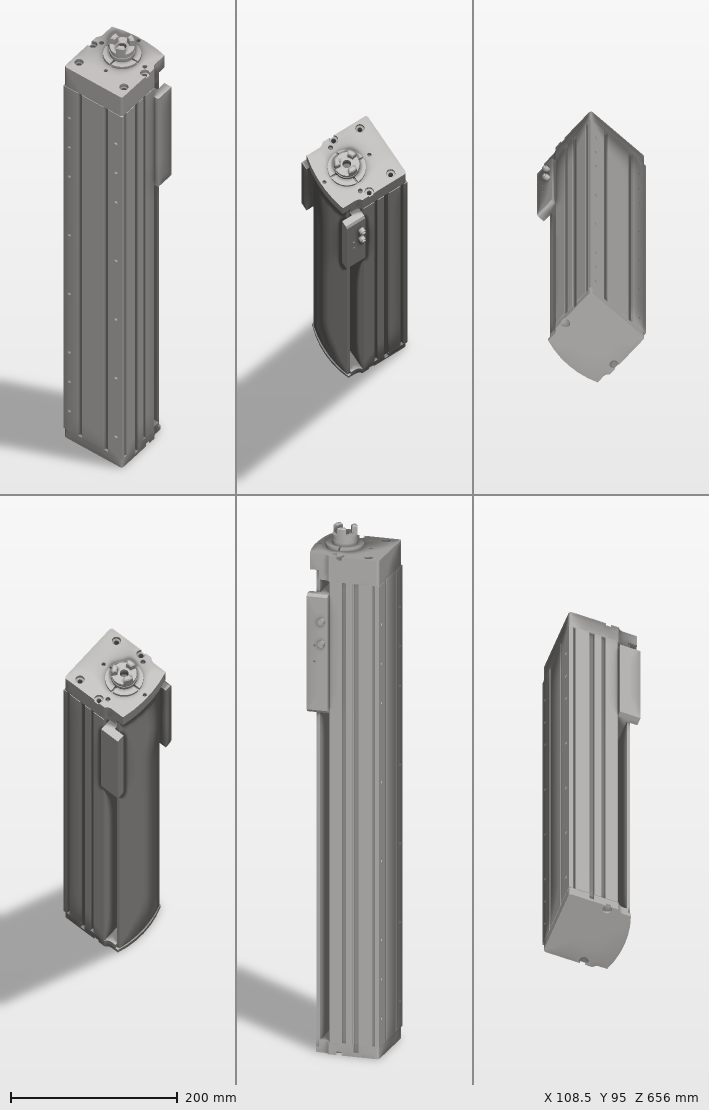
import cadquery as cq
import math


total_height = 656.0
cap_height = 15.0
head_bottom = 597.5
head_top = 629.5

rail_width = 89.0
rail_front_y = -58.0
rail_back_y = 6.0
rail_back_chamfer = 1.0
front_slot_x = 20.0
front_slot_width = 4.5
slot_depth = 4.0
lip_width = 1.0
lip_depth = 1.0
upper_groove_y = -13.0
upper_groove_width = 5.0
cable_groove_y = -28.0
cable_groove_width = 6.0
clamp_groove_y = -50.5
clamp_groove_width = 3.0

mount_pitch = 50.0
mount_hole_x = 35.5
mount_hole_diameter = 5.0
mount_hole_depth = 6.5
paired_hole_steps = (1, 3, 5, 7, 9, 10, 11)
left_only_hole_steps = (2,)

end_width = 88.0
end_front_y = -57.0
end_corner_radius = 3.0
neck_half_width = 40.0
neck_fillet = 9.0
neck_fillet_y = 14.0
head_shoulder_y = 31.5
head_crown_y = 37.0
overhang_bottom = 609.5

cover_half_width = 37.5
cover_front_y = 20.0
cover_shoulder_y = 23.5
cover_crown_y = 29.0
cover_bottom = 6.5
cap_crown_y = 31.0

pocket_diameter = 11.0
bolt_hole_diameter = 6.0
side_pocket_x = 39.5
side_pocket_y = -6.5
pocket_depth = 4.5
front_pocket_x = 34.0
front_pocket_y = -40.5
dowel_x = 33.0
dowel_y = 2.0
dowel_diameter = 6.0
dowel_depth = 6.5
motor_hole_offset = 32.0
motor_hole_diameter = 5.0
motor_hole_depth = 6.5

ring_diameter = 46.0
ring_height = 4.0
ring_slot_width = 2.5

hub_diameter = 30.0
hub_bore = 10.5
hub_bottom = head_top + ring_height
hub_body_top = 646.0
jaw_count = 3
jaw_angle = 46.0
jaw_inner_radius = 8.5
jaw_chamfer = 1.0
hub_groove_bottom = 639.0
hub_groove_top = 643.0
hub_groove_depth = 0.5

carriage_width = 100.5
carriage_bottom = 432.0
carriage_length = 149.5
carriage_back_y = 32.0
bridge_back_y = 18.5
arm_inner_x = 39.5
end_chamfer_x = 2.5
end_chamfer_z = 3.0
nipple_heights = (521.0, 549.0)
nipple_y = 12.5
nipple_diameter = 8.0
nipple_base_length = 6.0
nipple_tip_diameter = 5.0
nipple_length = 8.0
side_hole_heights = (496.5, 517.0)
side_hole_y = 22.0
side_hole_diameter = 3.2
side_hole_depth = 5.0


def box_between(x_range, y_range, z_range):
    """Box given by its lower and upper limit on each axis."""
    sizes = [high - low for low, high in (x_range, y_range, z_range)]
    corner = (x_range[0], y_range[0], z_range[0])
    return cq.Workplane("XY").box(*sizes, centered=False).translate(corner)


def upright_cylinders(points, diameter, z_low, z_high):
    """Cylinders along Z at the given XY points."""
    base = cq.Workplane("XY").workplane(offset=z_low)
    return base.pushPoints(points).circle(diameter / 2).extrude(z_high - z_low)


def mirrored(x, y):
    """A point and its mirror image on the other side of the YZ plane."""
    return [(-x, y), (x, y)]


def channel(point, width, depth, z_low=cap_height, z_high=head_bottom):
    """Cutter along Z for a slot in a front face, centred on a point of that face."""
    x, y = point
    return box_between((x - width / 2, x + width / 2), (y - depth, y + depth), (z_low, z_high))


def side_channel(point, width, depth, z_low=cap_height, z_high=head_bottom):
    """Cutter along Z for a groove in a side face, centred on a point of that face."""
    x, y = point
    return box_between((x - depth, x + depth), (y - width / 2, y + width / 2), (z_low, z_high))


def make_rail():
    half = rail_width / 2
    rail = box_between((-half, half), (rail_front_y, rail_back_y), (cap_height, head_bottom))
    rail = rail.edges("|Z and >Y").chamfer(rail_back_chamfer)

    for x in (-front_slot_x, front_slot_x):
        rail = rail.cut(channel((x, rail_front_y), front_slot_width, slot_depth))
        rail = rail.cut(channel((x, rail_front_y), front_slot_width + 2 * lip_width, lip_depth))
    for side in (-half, half):
        rail = rail.cut(side_channel((side, upper_groove_y), upper_groove_width, slot_depth))
        for y, width in ((cable_groove_y, cable_groove_width), (clamp_groove_y, clamp_groove_width)):
            rail = rail.cut(side_channel((side, y), width, slot_depth))
            rail = rail.cut(side_channel((side, y), width + 2 * lip_width, lip_depth))

    points = [(-mount_hole_x, step * mount_pitch) for step in paired_hole_steps + left_only_hole_steps]
    points += [(mount_hole_x, step * mount_pitch) for step in paired_hole_steps]
    front = cq.Workplane("XZ", origin=(0, rail_front_y, 0))
    return rail.cut(front.pushPoints(points).circle(mount_hole_diameter / 2).extrude(-mount_hole_depth))


def end_block(shoulder_y, crown_y, z_low, z_high):
    """Block with rounded front corners, a narrower neck and a domed back."""
    half = end_width / 2
    arc_center_x = neck_half_width + neck_fillet
    end_angle = math.acos((arc_center_x - half) / neck_fillet)

    def on_neck_arc(angle):
        x = arc_center_x - neck_fillet * math.cos(angle)
        return x, neck_fillet_y - neck_fillet * math.sin(angle)

    arc_end_x, arc_end_y = on_neck_arc(end_angle)
    arc_mid_x, arc_mid_y = on_neck_arc(end_angle / 2)
    block = (
        cq.Workplane("XY")
        .workplane(offset=z_low)
        .moveTo(-half, end_front_y)
        .lineTo(half, end_front_y)
        .lineTo(arc_end_x, arc_end_y)
        .threePointArc((arc_mid_x, arc_mid_y), (neck_half_width, neck_fillet_y))
        .lineTo(neck_half_width, shoulder_y)
        .threePointArc((0, crown_y), (-neck_half_width, shoulder_y))
        .lineTo(-neck_half_width, neck_fillet_y)
        .threePointArc((-arc_mid_x, arc_mid_y), (-arc_end_x, arc_end_y))
        .close()
        .extrude(z_high - z_low)
    )
    return block.edges("|Z and <Y").fillet(end_corner_radius)


def cover_recess(z_low, z_high):
    """Space behind the neck of an end block, where the cover ends."""
    return box_between((-end_width, end_width), (cover_front_y, 2 * head_crown_y), (z_low, z_high))


def make_head():
    head = end_block(head_shoulder_y, head_crown_y, head_bottom, head_top)
    head = head.cut(cover_recess(head_bottom, overhang_bottom))

    bolts = mirrored(side_pocket_x, side_pocket_y) + mirrored(front_pocket_x, front_pocket_y)
    head = head.cut(upright_cylinders(bolts, pocket_diameter, head_top - pocket_depth, head_top))
    head = head.cut(upright_cylinders(bolts, bolt_hole_diameter, head_bottom, head_top))

    dowels = mirrored(dowel_x, dowel_y)
    head = head.cut(upright_cylinders(dowels, dowel_diameter, head_top - dowel_depth, head_top))
    motor_holes = [(0, -motor_hole_offset), (0, motor_hole_offset)]
    motor_hole_floor = head_top - motor_hole_depth
    return head.cut(upright_cylinders(motor_holes, motor_hole_diameter, motor_hole_floor, head_top))


def make_cap():
    cap = end_block(cover_shoulder_y, cap_crown_y, 0, cap_height)
    cap = cap.cut(cover_recess(cover_bottom, cap_height))
    pockets = mirrored(side_pocket_x, side_pocket_y)
    cap = cap.cut(upright_cylinders(pockets, pocket_diameter, 0, pocket_depth))

    for side in (-end_width / 2, end_width / 2):
        groove = side_channel((side, cable_groove_y), cable_groove_width, slot_depth, pocket_depth, cap_height)
        cap = cap.cut(groove)
    return cap


def make_cover():
    return (
        cq.Workplane("XY")
        .workplane(offset=cover_bottom)
        .moveTo(-cover_half_width, cover_front_y)
        .lineTo(cover_half_width, cover_front_y)
        .lineTo(cover_half_width, cover_shoulder_y)
        .threePointArc((0, cover_crown_y), (-cover_half_width, cover_shoulder_y))
        .close()
        .extrude(overhang_bottom - cover_bottom)
    )


def make_carriage():
    half = carriage_width / 2
    top = carriage_bottom + carriage_length
    carriage = box_between((-half, half), (rail_back_y, carriage_back_y), (carriage_bottom, top))

    inside_arms = (-arm_inner_x, arm_inner_x)
    behind_bridge = (bridge_back_y, carriage_back_y)
    cover_channel = box_between(inside_arms, behind_bridge, (carriage_bottom, top))
    carriage = carriage.cut(cover_channel)

    carriage = carriage.faces("<X").edges("|Y").chamfer(end_chamfer_z, end_chamfer_x)

    side = cq.Workplane("YZ", origin=(-half, 0, 0))
    holes = [(side_hole_y, z) for z in side_hole_heights]
    carriage = carriage.cut(side.pushPoints(holes).circle(side_hole_diameter / 2).extrude(side_hole_depth))
    nipples = [(nipple_y, z) for z in nipple_heights]
    for diameter, length in ((nipple_diameter, nipple_base_length), (nipple_tip_diameter, nipple_length)):
        carriage = carriage.union(side.pushPoints(nipples).circle(diameter / 2).extrude(-length))
    return carriage


def make_ring():
    ring = upright_cylinders([(0, 0)], ring_diameter, head_top, hub_bottom)
    middle = upright_cylinders([(0, 0)], hub_diameter, head_top, hub_bottom)
    half_slot = ring_slot_width / 2
    across = (-ring_diameter, ring_diameter)
    slots = box_between(across, (-half_slot, half_slot), (head_top, hub_bottom))
    slots = slots.union(box_between((-half_slot, half_slot), across, (head_top, hub_bottom)))
    return ring.cut(slots.cut(middle))


def make_hub():
    hub = upright_cylinders([(0, 0)], hub_diameter, hub_bottom, hub_body_top)
    hub = hub.cut(upright_cylinders([(0, 0)], hub_bore, hub_bottom, hub_body_top))
    outer = hub_diameter / 2

    sleeve = upright_cylinders([(0, 0)], 2 * hub_diameter, hub_groove_bottom, hub_groove_top)
    groove_floor = hub_diameter - 2 * hub_groove_depth
    core = upright_cylinders([(0, 0)], groove_floor, hub_groove_bottom, hub_groove_top)
    hub = hub.cut(sleeve.cut(core))

    def polar(radius, degrees):
        angle = math.radians(degrees)
        return radius * math.cos(angle), radius * math.sin(angle)

    for number in range(jaw_count):
        middle = 180 + number * 360 / jaw_count
        start = middle - jaw_angle / 2
        end = middle + jaw_angle / 2
        jaw = (
            cq.Workplane("XY")
            .workplane(offset=hub_body_top)
            .moveTo(*polar(jaw_inner_radius, start))
            .lineTo(*polar(outer, start))
            .threePointArc(polar(outer, middle), polar(outer, end))
            .lineTo(*polar(jaw_inner_radius, end))
            .threePointArc(polar(jaw_inner_radius, middle), polar(jaw_inner_radius, start))
            .close()
            .extrude(total_height - hub_body_top)
        )
        hub = hub.union(jaw.faces(">Z").chamfer(jaw_chamfer))
    return hub


rail = make_rail()
head = make_head()
cap = make_cap()
cover = make_cover()
carriage = make_carriage()
ring = make_ring()
hub = make_hub()

result = cq.Compound.makeCompound(
    [rail.val(), head.val(), cap.val(), cover.val(), carriage.val(), ring.val(), hub.val()]
)